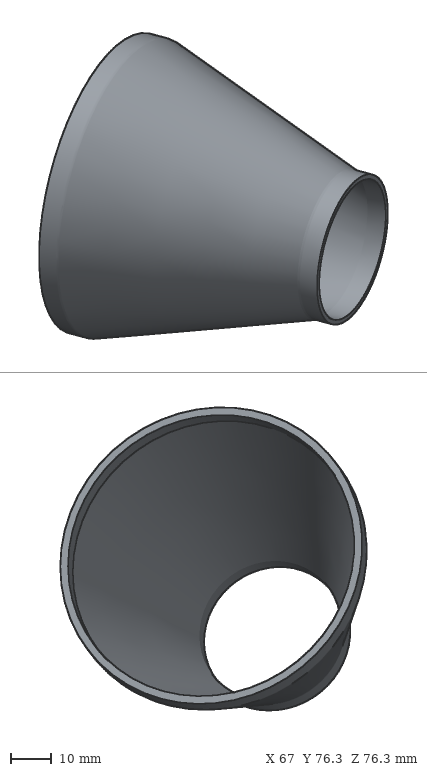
import cadquery as cq

length = 67.0
large_outer_radius = 76.3 / 2
large_inner_radius = 72.3 / 2
small_outer_radius = 38.15 / 2
small_inner_radius = 35.7 / 2
collar_length = 5.0
bend_radius = 2.0

large_end = -length / 2
small_end = length / 2
cone_start = large_end + collar_length
cone_end = small_end - collar_length


def reducer_solid(large_radius, small_radius):
    """Solid of revolution with a straight collar at each end of a cone."""
    profile = [
        (large_end, 0),
        (large_end, large_radius),
        (cone_start, large_radius),
        (cone_end, small_radius),
        (small_end, small_radius),
        (small_end, 0),
    ]
    return (
        cq.Workplane("XY")
        .polyline(profile)
        .close()
        .revolve(360, (0, 0, 0), (1, 0, 0))
    )


def collar_corner(x):
    """Selector for the circular edge where a collar meets the cone."""
    margin = collar_length / 2
    reach = 2 * large_outer_radius
    return cq.selectors.BoxSelector((x - margin, -reach, -reach), (x + margin, reach, reach))


outer = reducer_solid(large_outer_radius, small_outer_radius)
for corner_x in (cone_start, cone_end):
    corner_edge = outer.edges(collar_corner(corner_x)).edges("%CIRCLE")
    outer = outer.newObject(corner_edge.vals()).fillet(bend_radius)

bore = reducer_solid(large_inner_radius, small_inner_radius)
result = outer.cut(bore)